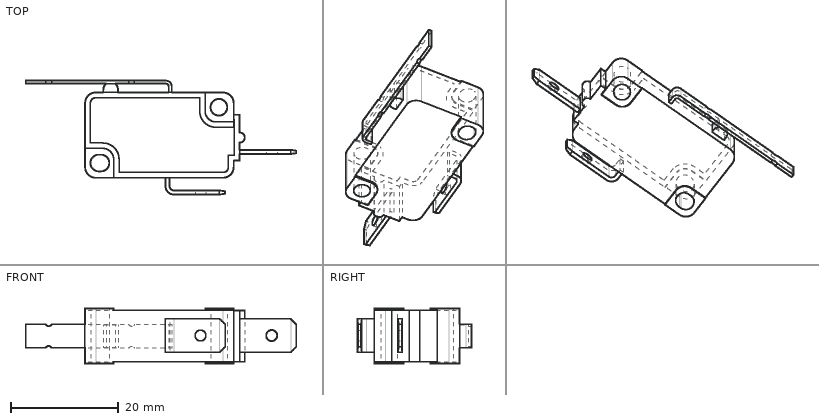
import cadquery as cq
import math


overall_length = 50.5

case_length = 27.75
case_width = 15.95
case_height = 9.6
corner_radius = 2.0
half_length = case_length / 2
half_width = case_width / 2

pad_length = 5.35
pad_width = 5.5
pad_rise = 0.35
pad_corner_radius = 2.0
full_height = case_height + 2 * pad_rise

hole_diameter = 3.1
slot_length = 3.5
hole_edge_distance = 2.8

block_depth = 1.1
block_top = 3.85
block_bottom = -4.75
block_end = half_length + block_depth
nub_radius = 0.95
nub_y = -0.45

panel_margin = 1.0
panel_rise = 0.05

lever_thickness = 0.6
lever_height = 4.45
lever_tip_x = -24.95
lever_heel_x = 2.3
lever_top_y = half_width + 2.2
lever_bend_radius = 1.1
notch_radius = 0.6
notch_depth = 0.35
notch_places = (-20.65, -5.2)

plunger_x = -9.1
plunger_width = 2.8
plunger_height = 4.25

blade_thickness = 0.8
blade_width = 6.3
blade_z = 0.1
blade_hole_diameter = 2.0
blade_hole_from_tip = 4.6
blade_tip_length = 1.05
blade_tip_thickness = 0.5
no_tip_x = lever_tip_x + overall_length
no_y = -3.15
com_tip_x = 12.25
com_left_x = 1.1
com_bottom_y = -half_width - 3.15
com_bend_radius = 1.6

embed_depth = 1.0


def slab(size_x, size_y, size_z):
    """Flat box centred on the origin."""
    return cq.Workplane("XY").box(size_x, size_y, size_z)


def rounded_case(height):
    return slab(case_length, case_width, height).edges("|Z").fillet(corner_radius)


def corner_block(side, length, width, inner_radius, height):
    """Block filling one case corner (side = 1: +X+Y, side = -1: -X-Y), inner corner rounded."""
    block = slab(length, width, height).edges("|Z and <X and <Y").fillet(inner_radius)
    block = block.translate((half_length - length / 2, half_width - width / 2, 0))
    return block if side > 0 else block.rotate((0, 0, 0), (0, 0, 1), 180)


def end_block(margin, height):
    """Block on the +X end, shrunk on its outer sides by the margin."""
    left = half_length - corner_radius - margin
    right = block_end - margin
    bottom = block_bottom + margin
    top = block_top - margin
    block = slab(right - left, top - bottom, height)
    return block.translate(((left + right) / 2, (bottom + top) / 2, 0))


def make_case():
    case = rounded_case(case_height).union(end_block(0, case_height))
    nub = cq.Workplane("XY").center(block_end, nub_y).circle(nub_radius)
    case = case.union(nub.extrude(case_height / 2, both=True))
    for side in (1, -1):
        pad = corner_block(side, pad_length, pad_width, pad_corner_radius, full_height)
        case = case.union(pad.intersect(rounded_case(full_height)))
    return case


def make_panel():
    """Thin plate that follows the case outline and passes around the pads."""
    height = 2 * panel_rise
    panel = slab(case_length - 2 * panel_margin, case_width - 2 * panel_margin, height)
    panel = panel.edges("|Z").fillet(corner_radius - panel_margin)
    panel = panel.union(end_block(panel_margin, height))
    for side in (1, -1):
        panel = panel.cut(
            corner_block(
                side,
                pad_length + panel_margin,
                pad_width + panel_margin,
                pad_corner_radius + panel_margin,
                height,
            )
        )
    return panel.translate((0, 0, case_height / 2))


def make_mounting_holes():
    x = half_length - hole_edge_distance
    y = half_width - hole_edge_distance
    holes = cq.Workplane("XY").center(x, y).circle(hole_diameter / 2)
    slot = cq.Workplane("XY").center(-x, -y).slot2D(slot_length, hole_diameter)
    holes = holes.extrude(full_height, both=True)
    return holes.union(slot.extrude(full_height, both=True))


def make_lever():
    """L-shaped strip with a rounded bend and half-round notches in both long edges."""
    lever = (
        cq.Workplane("XY")
        .moveTo(lever_tip_x, lever_top_y)
        .lineTo(lever_heel_x, lever_top_y)
        .lineTo(lever_heel_x, half_width - embed_depth)
        .lineTo(lever_heel_x - lever_thickness, half_width - embed_depth)
        .lineTo(lever_heel_x - lever_thickness, lever_top_y - lever_thickness)
        .lineTo(lever_tip_x, lever_top_y - lever_thickness)
        .close()
        .extrude(lever_height / 2, both=True)
    )
    lever = lever.edges("|Z and >X and >Y").fillet(lever_bend_radius)
    inner_corner = cq.selectors.NearestToPointSelector(
        (lever_heel_x - lever_thickness, lever_top_y - lever_thickness, 0)
    )
    lever = lever.edges("|Z").edges(inner_corner).fillet(lever_bend_radius - lever_thickness)
    notch_z = lever_height / 2 + notch_radius - notch_depth
    notches = (
        cq.Workplane("XZ", origin=(0, lever_top_y, 0))
        .pushPoints([(x, side * notch_z) for x in notch_places for side in (1, -1)])
        .circle(notch_radius)
        .extrude(lever_thickness)
    )
    return lever.cut(notches)


def make_plunger():
    """Round-nosed pin whose nose ends half-way into the lever thickness."""
    radius = plunger_width / 2
    nose_y = lever_top_y - lever_thickness / 2
    return (
        cq.Workplane("XY")
        .moveTo(plunger_x - radius, half_width - embed_depth)
        .lineTo(plunger_x - radius, nose_y - radius)
        .threePointArc((plunger_x, nose_y), (plunger_x + radius, nose_y - radius))
        .lineTo(plunger_x + radius, half_width - embed_depth)
        .close()
        .extrude(plunger_height / 2, both=True)
    )


def make_blade(start_x, tip_x, y):
    """Straight blade along +X with a thinned, corner-cut tip and a round hole."""
    shoulder_x = tip_x - blade_tip_length
    half_blade = blade_width / 2
    half_tip = blade_tip_thickness / 2
    half_thick = blade_thickness / 2
    side_profile = (
        cq.Workplane("XY")
        .moveTo(start_x, -half_thick)
        .lineTo(shoulder_x, -half_thick)
        .lineTo(tip_x, -half_tip)
        .lineTo(tip_x, half_tip)
        .lineTo(shoulder_x, half_thick)
        .lineTo(start_x, half_thick)
        .close()
        .extrude(half_blade, both=True)
    )
    face_outline = (
        cq.Workplane("XZ")
        .moveTo(start_x, -half_blade)
        .lineTo(shoulder_x, -half_blade)
        .lineTo(tip_x, -half_blade + blade_tip_length)
        .lineTo(tip_x, half_blade - blade_tip_length)
        .lineTo(shoulder_x, half_blade)
        .lineTo(start_x, half_blade)
        .close()
        .extrude(blade_thickness, both=True)
    )
    hole = cq.Workplane("XZ").center(tip_x - blade_hole_from_tip, 0).circle(blade_hole_diameter / 2)
    blade = side_profile.intersect(face_outline).cut(hole.extrude(blade_thickness, both=True))
    return blade.translate((0, y, blade_z))


def make_com_terminal():
    """Blade bent a quarter turn out of the -Y side."""
    bend_x = com_left_x + com_bend_radius
    bend_y = com_bottom_y + com_bend_radius
    inner_radius = com_bend_radius - blade_thickness
    top_y = -half_width + embed_depth
    diagonal = math.sqrt(0.5)
    stem = (
        cq.Workplane("XY", origin=(0, 0, blade_z))
        .moveTo(com_left_x, top_y)
        .lineTo(com_left_x, bend_y)
        .threePointArc(
            (bend_x - com_bend_radius * diagonal, bend_y - com_bend_radius * diagonal),
            (bend_x, com_bottom_y),
        )
        .lineTo(bend_x, com_bottom_y + blade_thickness)
        .threePointArc(
            (bend_x - inner_radius * diagonal, bend_y - inner_radius * diagonal),
            (com_left_x + blade_thickness, bend_y),
        )
        .lineTo(com_left_x + blade_thickness, top_y)
        .close()
        .extrude(blade_width / 2, both=True)
    )
    return stem.union(make_blade(bend_x, com_tip_x, com_bottom_y + blade_thickness / 2))


result = (
    make_case()
    .union(make_panel())
    .cut(make_mounting_holes())
    .union(make_plunger())
    .union(make_lever())
    .union(make_blade(block_end - embed_depth, no_tip_x, no_y))
    .union(make_com_terminal())
)